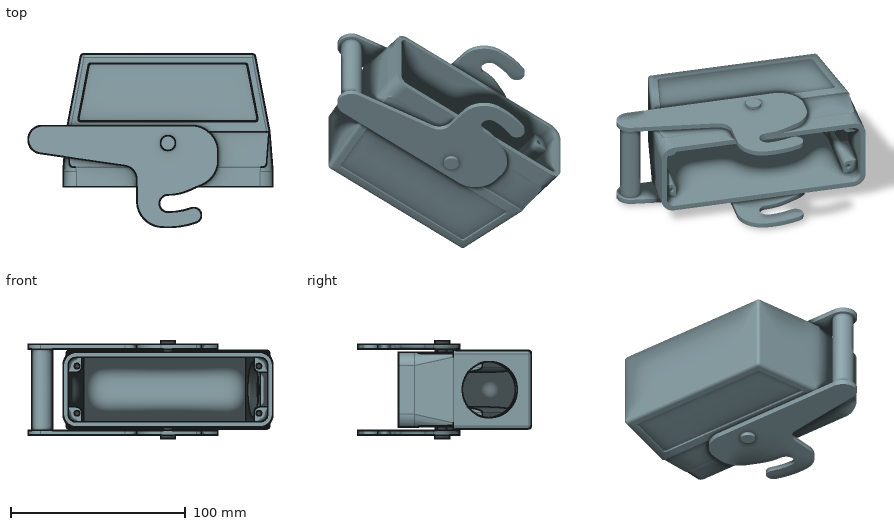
import math

import cadquery as cq


RIM_HALF_X = 60.0
RIM_HALF_Z = 21.4
RIM_CORNER_RADIUS = 7.5
RIM_END_Y = 9.0
WALL = 3.0
NECK_END_Y = 31.5
NECK_CORNER_RADIUS = 2.5

HOOD_TOP_Y = 76.0
HOOD_BASE_HALF_X = 58.2
HOOD_TOP_HALF_X = 49.7
HOOD_HALF_Z = 22.5
HOOD_EDGE_RADIUS = 1.9

PAD_START_Y = 11.2
PAD_END_Y = NECK_END_Y
PAD_START_HALF_X = 56.2
PAD_END_HALF_X = 57.7
PAD_SINK = 0.1
PAD_STEP_RUN = 0.4
PAD_CORNER_RADIUS = 2.2

PANEL_START_Y = 37.3
PANEL_END_Y = 70.6
PANEL_SIDE_MARGIN = 5.4
PANEL_DEPTH = 0.8
PANEL_DRAFT_DEGREES = 25.0
PANEL_CORNER_RADIUS = 1.5

CAVITY_FLOOR_Y = HOOD_TOP_Y - WALL
FLOOR_LEFT_X = -48.2
FLOOR_RIGHT_X = 44.5
LEDGE_Y = 30.0

SCREW_HALF_X = 52.0
SCREW_HALF_Z = 13.5
SCREW_DIAMETER = 3.0
SCREW_DEPTH = 12.0
BOSS_START_Y = 9.4
BOSS_INNER_X = 49.3
BOSS_INNER_Z = 9.9
BOSS_CORNER_RADIUS = 3.0

ENTRY_DIAMETER = 32.0
ENTRY_Y = 51.2

PLATE_INNER_Z = 23.25
PLATE_OUTER_Z = 26.0
PIVOT_Y = 25.0
PIN_DIAMETER = 5.45
PIN_HEAD_DIAMETER = 8.5
PIN_HEAD_Z = 28.0
BAR_X = -72.0
BAR_Y = 27.0
BAR_DIAMETER = 12.0
ARM_END_RADIUS = 8.0
ARM_TAPER = math.radians(8.2)
ARM_INNER_RADIUS = 8.0
CAM_RADIUS = 15.0
CAM_CENTER_X = 13.6
CAM_LOWER_Y = 15.0
NECK_EDGE_X = -17.8
HOOK_OUTER_RADIUS = 48.25
HOOK_INNER_RADIUS = 39.4
SLOT_OUTER_RADIUS = 29.7
HOOK_TIP_X = 14.7
HOOK_HEEL_RADIUS = 15.0

HOOD_SLOPE = (HOOD_BASE_HALF_X - HOOD_TOP_HALF_X) / (HOOD_TOP_Y - NECK_END_Y)
PAD_HALF_Z = RIM_HALF_Z - PAD_SINK
CAVITY_HALF_X = RIM_HALF_X - WALL
CAVITY_HALF_Z = RIM_HALF_Z - WALL
CAVITY_CORNER_RADIUS = RIM_CORNER_RADIUS - WALL


def hood_half_x(y):
    """Half width of the tapered hood at height y."""
    return HOOD_BASE_HALF_X - HOOD_SLOPE * (y - NECK_END_Y)


def rounded_rectangle(half_x, half_z, radius):
    return cq.Sketch().rect(2 * half_x, 2 * half_z).vertices().fillet(radius)


def plane_at(y):
    """Work plane facing -Y, with local axes X and Z."""
    return cq.Workplane("XZ", origin=(0, y, 0))


def slab(points, half_z):
    """Prism of an XY outline, centred on Z = 0."""
    return cq.Workplane("XY").polyline(points).close().extrude(half_z, both=True)


def both_sides(shape):
    return shape.union(shape.mirror("XY"))


def make_shell():
    rim_outline = rounded_rectangle(RIM_HALF_X, RIM_HALF_Z, RIM_CORNER_RADIUS)
    neck_outline = rounded_rectangle(HOOD_BASE_HALF_X, RIM_HALF_Z, NECK_CORNER_RADIUS)
    rim = plane_at(0).placeSketch(rim_outline).extrude(-RIM_END_Y)
    neck_shift = cq.Location(cq.Vector(0, 0, RIM_END_Y - NECK_END_Y))
    neck = plane_at(RIM_END_Y).placeSketch(rim_outline, neck_outline.moved(neck_shift)).loft(ruled=True)
    hood = slab(
        [
            (-HOOD_BASE_HALF_X, NECK_END_Y),
            (HOOD_BASE_HALF_X, NECK_END_Y),
            (HOOD_TOP_HALF_X, HOOD_TOP_Y),
            (-HOOD_TOP_HALF_X, HOOD_TOP_Y),
        ],
        HOOD_HALF_Z,
    )
    hood = hood.edges("not(#Y and <Y)").fillet(HOOD_EDGE_RADIUS)
    return rim.union(neck).union(hood)


def make_pads():
    pads = slab(
        [
            (-PAD_START_HALF_X, PAD_START_Y),
            (PAD_START_HALF_X, PAD_START_Y),
            (PAD_END_HALF_X, PAD_END_Y),
            (-PAD_END_HALF_X, PAD_END_Y),
        ],
        PAD_HALF_Z,
    )
    return pads.edges("|Z and <Y").fillet(PAD_CORNER_RADIUS)


def make_pad_clearance():
    """Shallow recess across the neck with sloping ends, level with the pads."""
    recess = (
        cq.Workplane("YZ")
        .polyline(
            [
                (PAD_START_Y, RIM_HALF_Z),
                (PAD_START_Y + PAD_STEP_RUN, PAD_HALF_Z),
                (PAD_END_Y - PAD_STEP_RUN, PAD_HALF_Z),
                (PAD_END_Y, RIM_HALF_Z),
            ]
        )
        .close()
        .extrude(RIM_HALF_X, both=True)
    )
    return both_sides(recess)


def make_panels():
    start_half_x = hood_half_x(PANEL_START_Y) - PANEL_SIDE_MARGIN
    end_half_x = hood_half_x(PANEL_END_Y) - PANEL_SIDE_MARGIN
    outline = (
        cq.Sketch()
        .polygon(
            [
                (-start_half_x, PANEL_START_Y),
                (start_half_x, PANEL_START_Y),
                (end_half_x, PANEL_END_Y),
                (-end_half_x, PANEL_END_Y),
                (-start_half_x, PANEL_START_Y),
            ]
        )
        .vertices()
        .fillet(PANEL_CORNER_RADIUS)
    )
    panel = (
        cq.Workplane("XY", origin=(0, 0, HOOD_HALF_Z))
        .placeSketch(outline)
        .extrude(-PANEL_DEPTH, taper=PANEL_DRAFT_DEGREES)
    )
    return both_sides(panel)


def make_bosses():
    size_x = RIM_HALF_X - BOSS_INNER_X
    size_z = RIM_HALF_Z - BOSS_INNER_Z
    length = CAVITY_FLOOR_Y - BOSS_START_Y
    bosses = cq.Workplane("XY")
    for side_x in (-1, 1):
        for side_z in (-1, 1):
            boss = cq.Workplane("XY").box(size_x, length, size_z).translate(
                (
                    side_x * (BOSS_INNER_X + size_x / 2),
                    BOSS_START_Y + length / 2,
                    side_z * (BOSS_INNER_Z + size_z / 2),
                )
            )
            inner_edge = (side_x * BOSS_INNER_X, BOSS_START_Y + length / 2, side_z * BOSS_INNER_Z)
            boss = boss.edges(cq.selectors.NearestToPointSelector(inner_edge)).fillet(BOSS_CORNER_RADIUS)
            bosses = bosses.add(boss)
    return bosses.combine()


def make_cavity():
    """Straight mouth narrowing to a tapered chamber, with a ledge on the +X side."""
    depth = CAVITY_FLOOR_Y
    left_bend_y = depth - (CAVITY_HALF_X + FLOOR_LEFT_X) / HOOD_SLOPE
    ledge_x = FLOOR_RIGHT_X + HOOD_SLOPE * (depth - LEDGE_Y)
    mouth_outline = rounded_rectangle(CAVITY_HALF_X, CAVITY_HALF_Z, CAVITY_CORNER_RADIUS)
    mouth = plane_at(0).placeSketch(mouth_outline).extrude(-left_bend_y)
    chamber = slab(
        [
            (-CAVITY_HALF_X, left_bend_y),
            (CAVITY_HALF_X, left_bend_y),
            (CAVITY_HALF_X, LEDGE_Y),
            (ledge_x, LEDGE_Y),
            (FLOOR_RIGHT_X, depth),
            (FLOOR_LEFT_X, depth),
        ],
        CAVITY_HALF_Z,
    )
    return mouth.union(chamber).cut(make_bosses())


def make_screw_holes():
    return (
        plane_at(BOSS_START_Y)
        .rect(2 * SCREW_HALF_X, 2 * SCREW_HALF_Z, forConstruction=True)
        .vertices()
        .circle(SCREW_DIAMETER / 2)
        .extrude(-SCREW_DEPTH)
    )


def make_cable_entry():
    """Bore square to the sloping +X wall."""
    inner_x = FLOOR_RIGHT_X + HOOD_SLOPE * (CAVITY_FLOOR_Y - ENTRY_Y)
    length = 2 * (RIM_HALF_X - inner_x)
    wall_plane = cq.Plane(origin=(inner_x, ENTRY_Y, 0), xDir=(0, 0, 1), normal=(1, HOOD_SLOPE, 0))
    return cq.Workplane(wall_plane).circle(ENTRY_DIAMETER / 2).extrude(length)


def polar(center, radius, angle):
    return (center[0] + radius * math.cos(angle), center[1] + radius * math.sin(angle))


def make_lever_plate():
    pivot = (0, PIVOT_Y)
    top_y = BAR_Y + ARM_END_RADIUS
    bar = (BAR_X, BAR_Y)

    arm_normal = -math.pi / 2 - ARM_TAPER
    arm_lower = polar(bar, ARM_END_RADIUS, arm_normal)
    arm_middle = polar(bar, ARM_END_RADIUS, (math.pi / 2 + arm_normal + 2 * math.pi) / 2)
    inner_corner = (NECK_EDGE_X, arm_lower[1] - math.tan(ARM_TAPER) * (NECK_EDGE_X - arm_lower[0]))

    cam_upper = (CAM_CENTER_X, top_y - CAM_RADIUS)
    cam_lower = (CAM_CENTER_X, CAM_LOWER_Y)
    offset_x = cam_lower[0] - pivot[0]
    offset_y = cam_lower[1] - pivot[1]
    tangent_turn = math.acos((SLOT_OUTER_RADIUS - CAM_RADIUS) / math.hypot(offset_x, offset_y))
    nose_normal = math.atan2(offset_y, offset_x) - tangent_turn

    slot_radius = (HOOK_INNER_RADIUS - SLOT_OUTER_RADIUS) / 2
    slot_center = (0, PIVOT_Y - SLOT_OUTER_RADIUS - slot_radius)
    tip_radius = (HOOK_OUTER_RADIUS - HOOK_INNER_RADIUS) / 2
    tip_track = HOOK_INNER_RADIUS + tip_radius
    tip_angle = -math.acos(HOOK_TIP_X / tip_track)
    tip_center = polar(pivot, tip_track, tip_angle)
    heel_x = NECK_EDGE_X + HOOK_HEEL_RADIUS
    heel_track = HOOK_OUTER_RADIUS - HOOK_HEEL_RADIUS
    heel_angle = -math.acos(heel_x / heel_track)
    heel_center = polar(pivot, heel_track, heel_angle)

    down = -math.pi / 2
    plate = (
        cq.Workplane("XY", origin=(0, 0, PLATE_INNER_Z))
        .moveTo(BAR_X, top_y)
        .lineTo(CAM_CENTER_X, top_y)
        .threePointArc(polar(cam_upper, CAM_RADIUS, math.pi / 4), polar(cam_upper, CAM_RADIUS, 0))
        .lineTo(*polar(cam_lower, CAM_RADIUS, 0))
        .threePointArc(
            polar(cam_lower, CAM_RADIUS, nose_normal / 2),
            polar(cam_lower, CAM_RADIUS, nose_normal),
        )
        .lineTo(*polar(pivot, SLOT_OUTER_RADIUS, nose_normal))
        .threePointArc(
            polar(pivot, SLOT_OUTER_RADIUS, (nose_normal + down) / 2),
            polar(pivot, SLOT_OUTER_RADIUS, down),
        )
        .threePointArc(polar(slot_center, slot_radius, math.pi), polar(pivot, HOOK_INNER_RADIUS, down))
        .threePointArc(
            polar(pivot, HOOK_INNER_RADIUS, (down + tip_angle) / 2),
            polar(pivot, HOOK_INNER_RADIUS, tip_angle),
        )
        .threePointArc(
            polar(tip_center, tip_radius, tip_angle + math.pi / 2),
            polar(pivot, HOOK_OUTER_RADIUS, tip_angle),
        )
        .threePointArc(
            polar(pivot, HOOK_OUTER_RADIUS, (tip_angle + heel_angle) / 2),
            polar(pivot, HOOK_OUTER_RADIUS, heel_angle),
        )
        .threePointArc(
            polar(heel_center, HOOK_HEEL_RADIUS, (heel_angle - math.pi) / 2),
            polar(heel_center, HOOK_HEEL_RADIUS, -math.pi),
        )
        .lineTo(*inner_corner)
        .lineTo(*arm_lower)
        .threePointArc(arm_middle, (BAR_X, top_y))
        .close()
        .extrude(PLATE_OUTER_Z - PLATE_INNER_Z)
    )
    corner_edge = cq.selectors.NearestToPointSelector((*inner_corner, (PLATE_INNER_Z + PLATE_OUTER_Z) / 2))
    return plate.edges("|Z").edges(corner_edge).fillet(ARM_INNER_RADIUS)


def make_pivot_pin():
    pin_start_z = CAVITY_HALF_Z + WALL / 2
    pin = (
        cq.Workplane("XY", origin=(0, PIVOT_Y, pin_start_z))
        .circle(PIN_DIAMETER / 2)
        .extrude(PLATE_OUTER_Z - pin_start_z)
    )
    head = (
        cq.Workplane("XY", origin=(0, PIVOT_Y, PLATE_OUTER_Z))
        .circle(PIN_HEAD_DIAMETER / 2)
        .extrude(PIN_HEAD_Z - PLATE_OUTER_Z)
    )
    return pin.union(head)


def make_handle_bar():
    return (
        cq.Workplane("XY", origin=(BAR_X, BAR_Y, -PLATE_INNER_Z))
        .circle(BAR_DIAMETER / 2)
        .extrude(2 * PLATE_INNER_Z)
    )


housing = (
    make_shell()
    .union(make_pads())
    .cut(make_pad_clearance())
    .cut(make_panels())
    .cut(make_cavity())
    .cut(make_screw_holes())
    .cut(make_cable_entry())
)
lever = both_sides(make_lever_plate().union(make_pivot_pin())).union(make_handle_bar())
result = housing.union(lever)